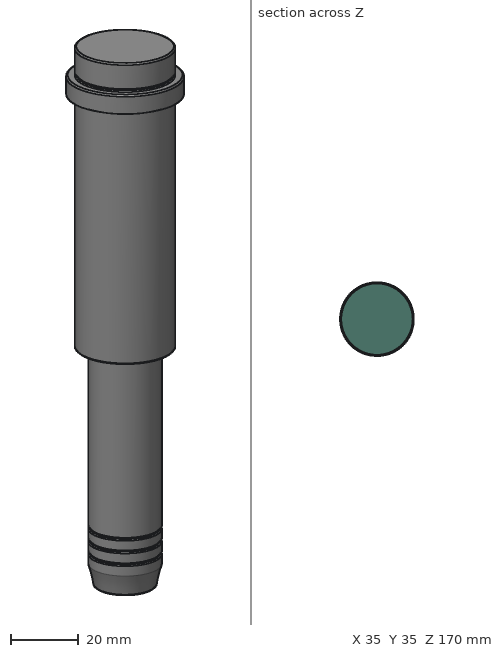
import cadquery as cq

total_length = 170.0

flange_radius = 35.0 / 2
body_radius = 30.0 / 2
shaft_radius = 22.0 / 2
tip_radius = 18.7 / 2

taper_height = 7.0
body_bottom = 75.0
neck_length = 1.0
shaft_top = body_bottom - neck_length
flange_bottom = 155.0
flange_thickness = 6.0
flange_top = flange_bottom + flange_thickness

edge_chamfer = 0.5
taper_hollow = 0.2
neck_depth = 0.3
groove_width = neck_length
groove_depth = 0.5
groove_wall_slope = 0.3
groove_count = 3
groove_pitch = 4 * groove_width


def cylinder(radius, bottom, top):
    """Solid cylinder on the Z axis between two heights."""
    return cq.Workplane("XY").workplane(offset=bottom).circle(radius).extrude(top - bottom)


def cut_groove(part, radius, bottom):
    """Cut a groove with sloped walls and a flat floor into a cylinder of the given radius."""
    top = bottom + groove_width
    outside = radius + groove_depth
    floor = radius - groove_depth
    ring = (
        cq.Workplane("XZ")
        .moveTo(outside, bottom)
        .lineTo(radius, bottom)
        .lineTo(floor, bottom + groove_wall_slope)
        .lineTo(floor, top - groove_wall_slope)
        .lineTo(radius, top)
        .lineTo(outside, top)
        .close()
        .revolve(360, (0, 0, 0), (0, 1, 0))
    )
    return part.cut(ring)


def make_tip():
    """Tip whose slightly hollow flank narrows from the shaft downwards."""
    flank_middle = ((shaft_radius + tip_radius) / 2 - taper_hollow, taper_height / 2)
    tip = (
        cq.Workplane("XZ")
        .lineTo(tip_radius, 0)
        .threePointArc(flank_middle, (shaft_radius, taper_height))
        .lineTo(0, taper_height)
        .close()
        .revolve(360, (0, 0, 0), (0, 1, 0))
    )
    return tip.faces("<Z").edges().chamfer(edge_chamfer)


shaft = cylinder(shaft_radius, taper_height, shaft_top)
for index in range(1, groove_count + 1):
    groove_top = taper_height + index * groove_pitch
    shaft = cut_groove(shaft, shaft_radius, groove_top - groove_width)

neck = cylinder(shaft_radius - neck_depth, shaft_top, body_bottom)

body = cylinder(body_radius, body_bottom, total_length).edges().chamfer(edge_chamfer)
body = cut_groove(body, body_radius, flange_bottom - groove_width)
body = cut_groove(body, body_radius, flange_top)

flange = cylinder(flange_radius, flange_bottom, flange_top).faces(">Z").chamfer(edge_chamfer)

result = make_tip().union(shaft).union(neck).union(body).union(flange)